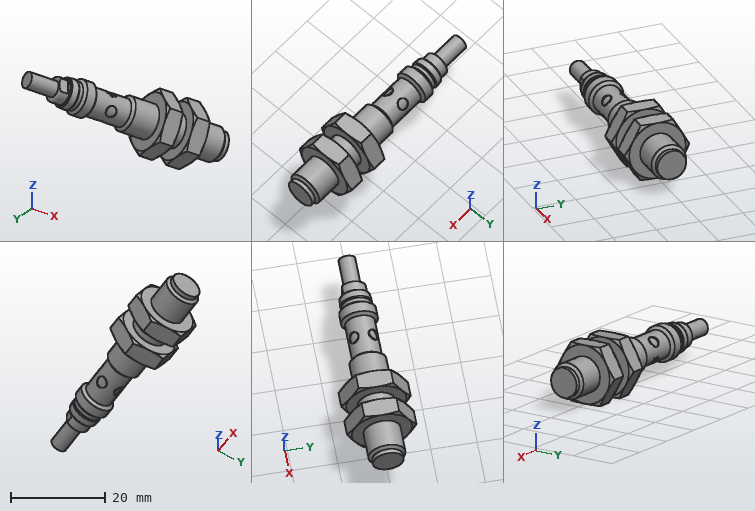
import cadquery as cq
import math

COLLAR_START = 6.9
RING_START = 9.35
RING_CREST_START = 10.7
RING_END = 11.15
NECK_START = 11.45
BEAD_START = 12.35
BEAD_END = 15.85
BARREL_START = 24.95
BARREL_END = 49.35
TOTAL_LENGTH = 50.35

CABLE_DIAMETER = 3.7
COLLAR_DIAMETER = 5.7
RING_DIAMETER = 6.9
RING_LEAD_DIAMETER = 6.65
NECK_DIAMETER = 6.5
BARREL_DIAMETER = 8.0
TIP_DIAMETER = 6.65

COLLAR_ROUND = 0.4
RING_CHAMFER = 0.15
BARREL_CHAMFER_LENGTH = 0.6

FLAT_DISTANCE = 2.35
FLAT_END = 8.9

WINDOW_DIAMETER = 2.5
WINDOW_X = 20.4
WINDOW_COUNT = 4
WINDOW_FIRST_ANGLE = 45.0
WINDOW_DEPTH = 0.25

NUT_ACROSS_FLATS = 13.0
NUT_ACROSS_CORNERS = NUT_ACROSS_FLATS / math.cos(math.radians(30))
NUT_THICKNESS = 4.0
NUT_CHAMFER_ANGLE = 20.0
NUT_STARTS = (31.7, 38.75)


def make_turned_body():
    """Cable, collar, ring, bead, neck and threaded barrel as one revolved profile."""
    cable = CABLE_DIAMETER / 2
    collar = COLLAR_DIAMETER / 2
    ring = RING_DIAMETER / 2
    ring_lead = RING_LEAD_DIAMETER / 2
    neck = NECK_DIAMETER / 2
    barrel = BARREL_DIAMETER / 2
    tip = TIP_DIAMETER / 2
    round_offset = COLLAR_ROUND * (1 - math.sqrt(0.5))
    profile = (
        cq.Workplane("XY")
        .lineTo(0, cable)
        .lineTo(COLLAR_START, cable)
        .lineTo(COLLAR_START, collar - COLLAR_ROUND)
        .threePointArc(
            (COLLAR_START + round_offset, collar - round_offset),
            (COLLAR_START + COLLAR_ROUND, collar),
        )
        .lineTo(RING_START, collar)
        .lineTo(RING_START, ring_lead - RING_CHAMFER)
        .lineTo(RING_START + RING_CHAMFER, ring_lead)
        .lineTo(RING_CREST_START, ring)
        .lineTo(RING_END, ring)
        .lineTo(NECK_START, neck)
        .lineTo(BEAD_START, neck)
        .lineTo(BEAD_START + BARREL_CHAMFER_LENGTH, barrel)
        .lineTo(BEAD_END - BARREL_CHAMFER_LENGTH, barrel)
        .lineTo(BEAD_END, neck)
        .lineTo(BARREL_START, neck)
        .lineTo(BARREL_START + BARREL_CHAMFER_LENGTH, barrel)
        .lineTo(BARREL_END - BARREL_CHAMFER_LENGTH, barrel)
        .lineTo(BARREL_END, tip)
        .lineTo(TOTAL_LENGTH, tip)
        .lineTo(TOTAL_LENGTH, 0)
        .close()
    )
    return profile.revolve(360, (0, 0, 0), (1, 0, 0))


def make_flat_cutter():
    """Block that removes the collar beyond the wrench flat."""
    return cq.Workplane("XY").box(
        FLAT_END - COLLAR_START, COLLAR_DIAMETER, COLLAR_DIAMETER, centered=(False, False, True)
    ).translate((COLLAR_START, -FLAT_DISTANCE - COLLAR_DIAMETER, 0))


def make_window_cutter(angle):
    """Radial plug, hollowed to leave a floor concentric with the neck."""
    plug = cq.Workplane("XY", origin=(WINDOW_X, 0, 0)).circle(WINDOW_DIAMETER / 2).extrude(NECK_DIAMETER)
    floor_radius = NECK_DIAMETER / 2 - WINDOW_DEPTH
    core = (
        cq.Workplane("YZ", origin=(WINDOW_X - WINDOW_DIAMETER, 0, 0))
        .circle(floor_radius)
        .extrude(2 * WINDOW_DIAMETER)
    )
    return plug.cut(core).rotate((0, 0, 0), (1, 0, 0), angle)


def make_sensor():
    sensor = make_turned_body().cut(make_flat_cutter())
    for index in range(WINDOW_COUNT):
        angle = WINDOW_FIRST_ANGLE + index * 360 / WINDOW_COUNT
        sensor = sensor.cut(make_window_cutter(angle))
    return sensor


def make_nut(start):
    """Hexagon nut with flats facing +Z and -Z and both faces cone-chamfered."""
    hexagon = cq.Workplane("YZ").polygon(6, NUT_ACROSS_CORNERS).extrude(NUT_THICKNESS)
    face_radius = NUT_ACROSS_FLATS / 2
    corner_radius = NUT_ACROSS_CORNERS / 2
    chamfer_length = (corner_radius - face_radius) * math.tan(math.radians(NUT_CHAMFER_ANGLE))
    envelope = (
        cq.Workplane("XY")
        .lineTo(0, face_radius)
        .lineTo(chamfer_length, corner_radius)
        .lineTo(NUT_THICKNESS - chamfer_length, corner_radius)
        .lineTo(NUT_THICKNESS, face_radius)
        .lineTo(NUT_THICKNESS, 0)
        .close()
        .revolve(360, (0, 0, 0), (1, 0, 0))
    )
    bore = cq.Workplane("YZ").circle(BARREL_DIAMETER / 2).extrude(NUT_THICKNESS)
    return hexagon.intersect(envelope).cut(bore).translate((start, 0, 0))


sensor = make_sensor()
nuts = [make_nut(start).val() for start in NUT_STARTS]
result = cq.Compound.makeCompound([sensor.val(), *nuts])